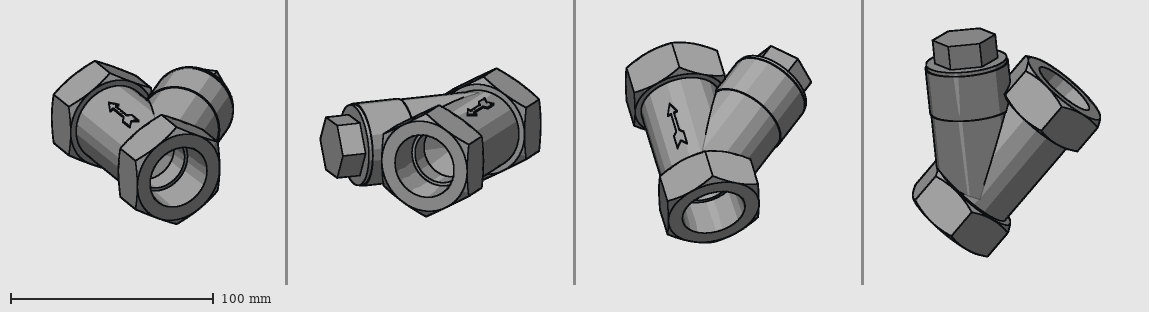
import cadquery as cq
import math

RUN_LENGTH = 90.0
BODY_DIAMETER = 40.0
NUT_ACROSS_FLATS = 46.0
NUT_WIDTH = 20.0
NUT_CHAMFER_ANGLE = 30.0

PORT_MOUTH_DIAMETER = 31.8
PORT_BOTTOM_DIAMETER = 30.3
PORT_DEPTH = 19.0
PASSAGE_DIAMETER = 27.0
PASSAGE_DEPTH = 30.0
DRILL_POINT_ANGLE = 118.0

BRANCH_ANGLE = 135.0
BRANCH_ROOT_X = 21.0
BRANCH_DIAMETER = BODY_DIAMETER
COLLAR_DIAMETER = 41.0
COLLAR_START = 40.75
COLLAR_LENGTH = 23.0
CAP_FLANGE_DIAMETER = 40.0
CAP_FLANGE_THICKNESS = 2.0
CAP_HEX_ACROSS_FLATS = 27.0
CAP_HEX_HEIGHT = 12.0

ARROW_TIP_X = -12.15
ARROW_CENTER_Y = -8.6
ARROW_LENGTH = 26.85
ARROW_HALF_WIDTH = 2.45
ARROW_HEAD_LENGTH = 6.15
ARROW_SHAFT_HALF_WIDTH = 0.75
ARROW_TAIL_LENGTH = 9.5
ARROW_TAIL_SLANT = 1.9
ARROW_NOTCH_DEPTH = 3.2
ARROW_RELIEF = 0.6

HALF_RUN = RUN_LENGTH / 2
BODY_RADIUS = BODY_DIAMETER / 2


def corner_radius(across_flats):
    """Distance from the center of a hexagon to its corners."""
    return across_flats / math.sqrt(3)


def make_body():
    """Plain tube joining the two nuts."""
    return cq.Workplane("YZ").circle(BODY_RADIUS).extrude(HALF_RUN, both=True)


def make_nut(start_x):
    """Hexagon with corners toward +Z and -Z, its corners chamfered at both ends."""
    radius = corner_radius(NUT_ACROSS_FLATS)
    face_radius = NUT_ACROSS_FLATS / 2
    chamfer = (radius - face_radius) * math.tan(math.radians(NUT_CHAMFER_ANGLE))
    end_x = start_x + NUT_WIDTH
    hexagon = (
        cq.Workplane("YZ", origin=(start_x, 0, 0))
        .transformed(rotate=(0, 0, 90))
        .polygon(6, 2 * radius)
        .extrude(NUT_WIDTH)
    )
    envelope = (
        cq.Workplane("XY")
        .moveTo(start_x, 0)
        .lineTo(start_x, face_radius)
        .lineTo(start_x + chamfer, radius)
        .lineTo(end_x - chamfer, radius)
        .lineTo(end_x, face_radius)
        .lineTo(end_x, 0)
        .close()
        .revolve(360, (0, 0, 0), (1, 0, 0))
    )
    return hexagon.intersect(envelope)


def make_port():
    """Cavity entering from the -X end face."""
    mouth_radius = PORT_MOUTH_DIAMETER / 2
    bottom_radius = PORT_BOTTOM_DIAMETER / 2
    passage_radius = PASSAGE_DIAMETER / 2
    cone_depth = passage_radius / math.tan(math.radians(DRILL_POINT_ANGLE / 2))
    return (
        cq.Workplane("XY", origin=(-HALF_RUN, 0, 0))
        .lineTo(0, mouth_radius)
        .lineTo(PORT_DEPTH, bottom_radius)
        .lineTo(PORT_DEPTH, passage_radius)
        .lineTo(PASSAGE_DEPTH, passage_radius)
        .lineTo(PASSAGE_DEPTH + cone_depth, 0)
        .close()
        .revolve(360, (0, 0, 0), (1, 0, 0))
    )


def make_branch():
    """Branch with collar, cap flange and cap hexagon, built along +X and swung into place."""
    collar_end = COLLAR_START + COLLAR_LENGTH
    flange_end = collar_end + CAP_FLANGE_THICKNESS
    along_axis = cq.Workplane("YZ")
    neck = along_axis.circle(BRANCH_DIAMETER / 2).extrude(COLLAR_START)
    collar = along_axis.workplane(offset=COLLAR_START).circle(COLLAR_DIAMETER / 2).extrude(COLLAR_LENGTH)
    flange = (
        along_axis.workplane(offset=collar_end)
        .circle(CAP_FLANGE_DIAMETER / 2)
        .extrude(CAP_FLANGE_THICKNESS)
    )
    cap_hex = (
        along_axis.workplane(offset=flange_end)
        .polygon(6, 2 * corner_radius(CAP_HEX_ACROSS_FLATS))
        .extrude(CAP_HEX_HEIGHT)
    )
    branch = neck.union(collar).union(flange).union(cap_hex)
    return branch.rotate((0, 0, 0), (0, 0, 1), BRANCH_ANGLE).translate((BRANCH_ROOT_X, 0, 0))


def make_arrow():
    """Arrow standing off the body by an even relief, with walls parallel to Z."""
    head_base = ARROW_HEAD_LENGTH
    tail_start = ARROW_LENGTH - ARROW_TAIL_LENGTH
    lower_half = [
        (head_base, -ARROW_HALF_WIDTH),
        (head_base, -ARROW_SHAFT_HALF_WIDTH),
        (tail_start, -ARROW_SHAFT_HALF_WIDTH),
        (tail_start + ARROW_TAIL_SLANT, -ARROW_HALF_WIDTH),
        (ARROW_LENGTH, -ARROW_HALF_WIDTH),
    ]
    tip = (0, 0)
    notch = (ARROW_LENGTH - ARROW_NOTCH_DEPTH, 0)
    upper_half = [(x, -y) for x, y in reversed(lower_half)]
    outer_radius = BODY_RADIUS + ARROW_RELIEF
    prism = (
        cq.Workplane("XY", origin=(ARROW_TIP_X, ARROW_CENTER_Y, 0))
        .polyline([tip] + lower_half + [notch] + upper_half)
        .close()
        .extrude(outer_radius)
    )
    sleeve = (
        cq.Workplane("YZ")
        .circle(outer_radius)
        .circle(BODY_RADIUS - ARROW_RELIEF)
        .extrude(HALF_RUN, both=True)
    )
    return prism.intersect(sleeve)


left_port = make_port()
right_port = left_port.mirror("YZ")

result = (
    make_body()
    .union(make_branch())
    .union(make_nut(-HALF_RUN))
    .union(make_nut(HALF_RUN - NUT_WIDTH))
    .union(make_arrow())
    .cut(left_port)
    .cut(right_port)
)